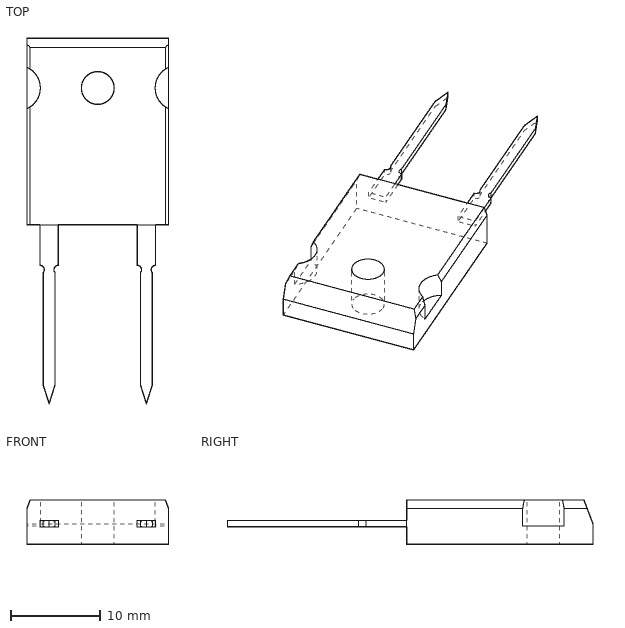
import cadquery as cq
import math

total_length = 41.05
body_width = 15.95
body_length = 20.95
body_height = 5.0

side_bevel_width = 0.35
side_bevel_height = 1.0
back_bevel_length = 1.03
back_bevel_height = 2.7

hole_diameter = 3.65
hole_from_back = 5.6
notch_radius = 2.55
notch_reach = 1.5
notch_depth = 2.95

lead_pitch = 10.92
lead_bottom = 1.97
lead_thickness = 0.75
lead_root_width = 2.1
lead_root_length = 4.55
lead_pin_width = 1.35
lead_tip_length = 2.15
lead_relief_radius = 0.5


def make_body():
    """Block with sloping upper sides and a sloping upper back."""
    half_width = body_width / 2
    top_half_width = half_width - side_bevel_width
    side_bevel_start = body_height - side_bevel_height
    cross_section = (
        cq.Workplane("XZ")
        .polyline([
            (-half_width, 0),
            (half_width, 0),
            (half_width, side_bevel_start),
            (top_half_width, body_height),
            (-top_half_width, body_height),
            (-half_width, side_bevel_start),
        ])
        .close()
        .extrude(body_length)
    )
    back_wedge = (
        cq.Workplane("YZ")
        .polyline([
            (0, body_height - back_bevel_height),
            (0, body_height),
            (-back_bevel_length, body_height),
        ])
        .close()
        .extrude(half_width, both=True)
    )
    return cross_section.cut(back_wedge)


def make_mounting_hole():
    return (
        cq.Workplane("XY")
        .center(0, -hole_from_back)
        .circle(hole_diameter / 2)
        .extrude(body_height)
    )


def make_notch(side):
    """Round pocket open to the top and to one long side (-1 or 1)."""
    centre_x = side * (body_width / 2 + notch_radius - notch_reach)
    return (
        cq.Workplane("XY", origin=(centre_x, -hole_from_back, body_height))
        .circle(notch_radius)
        .extrude(-notch_depth)
    )


def make_lead(centre_x):
    """Wide root, necked by a round relief on each side, then a narrow pointed pin."""
    root_half = lead_root_width / 2
    pin_half = lead_pin_width / 2
    shoulder_y = -lead_root_length
    tip_y = body_length - total_length

    relief_y = shoulder_y - lead_relief_radius
    neck_half = root_half - lead_relief_radius
    pin_start_y = relief_y - math.sqrt(lead_relief_radius**2 - (root_half - pin_half) ** 2)

    return (
        cq.Workplane("XY", origin=(centre_x, -body_length, lead_bottom))
        .moveTo(-root_half, 0)
        .lineTo(root_half, 0)
        .lineTo(root_half, shoulder_y)
        .threePointArc((neck_half, relief_y), (pin_half, pin_start_y))
        .lineTo(pin_half, tip_y + lead_tip_length)
        .lineTo(0, tip_y)
        .lineTo(-pin_half, tip_y + lead_tip_length)
        .lineTo(-pin_half, pin_start_y)
        .threePointArc((-neck_half, relief_y), (-root_half, shoulder_y))
        .close()
        .extrude(lead_thickness)
    )


result = make_body().cut(make_mounting_hole())
for side in (-1, 1):
    result = result.cut(make_notch(side))
    result = result.union(make_lead(side * lead_pitch / 2))